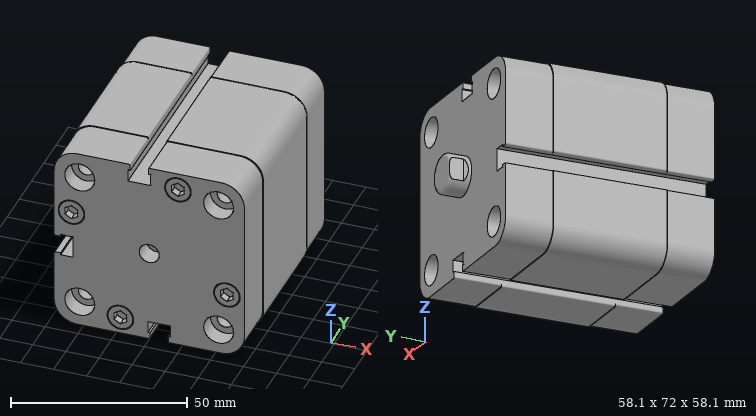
import cadquery as cq
import math


barrel_width = 58.1
cap_width = 57.6
corner_radius = 7.0
housing_length = 65.5
cap_length = 14.9
barrel_length = housing_length - 2 * cap_length

slot_offset = 3.0
slot_mouth = 5.5
slot_inner = 6.8
slot_lip_depth = 2.3
slot_depth = 5.95
slot_edge_radius = 0.5
slot_angles = (0, 90, 180)
slot_floor = barrel_width / 2 - slot_depth
slot_ledge = barrel_width / 2 - slot_lip_depth

mount_pitch = 42.0
mount_hole_diameter = 4.92
mount_bore_diameter = 9.0
mount_bore_depth = 5.5

screw_x = 8.7
screw_z = 23.5
screw_count = 4
screw_bore_diameter = 8.0
screw_head_diameter = 7.5
screw_head_height = 5.0
socket_across_flats = 3.8
socket_depth = 2.5

port_diameter = 6.0
port_depth = 6.0

rod_diameter = 12.0
rod_length = 6.5
rod_tip_radius = 1.2
rod_flats = 10.0
rod_flat_length = 4.5
rod_flat_runout = rod_diameter / 2 - rod_flats / 2
rod_tip_y = housing_length + rod_length


def sketch_plane(y):
    """Plane facing -Y at depth y: local x is X and local y is Z."""
    return cq.Workplane("XZ", origin=(0, y, 0))


def cylinder(diameter, length, y=0.0, points=((0, 0),)):
    """Cylinders that start at depth y and run towards +Y."""
    return sketch_plane(y).pushPoints(points).circle(diameter / 2).extrude(-length)


def slot_cutter(half_width):
    """Undercut slot in the +Z face, its mouth edges rounded."""
    mouth = slot_mouth / 2
    inner = slot_inner / 2
    radius = slot_edge_radius
    bend = radius * (1 - math.sqrt(0.5))
    tangent = half_width - radius
    above = half_width + radius
    return (
        sketch_plane(0)
        .center(-slot_offset, 0)
        .moveTo(-inner, slot_floor)
        .lineTo(inner, slot_floor)
        .lineTo(inner, slot_ledge)
        .lineTo(mouth, slot_ledge)
        .lineTo(mouth, tangent)
        .threePointArc((mouth + bend, half_width - bend), (mouth + radius, half_width))
        .lineTo(mouth + radius, above)
        .lineTo(-mouth - radius, above)
        .lineTo(-mouth - radius, half_width)
        .threePointArc((-mouth - bend, half_width - bend), (-mouth, tangent))
        .lineTo(-mouth, slot_ledge)
        .lineTo(-inner, slot_ledge)
        .close()
        .extrude(-housing_length)
    )


def housing_section(width, length, y):
    """Rounded square block with the sensor slots cut along it."""
    block = sketch_plane(y).rect(width, width).extrude(-length)
    block = block.edges("|Y").fillet(corner_radius)
    cutter = slot_cutter(width / 2)
    for angle in slot_angles:
        block = block.cut(cutter.rotate((0, 0, 0), (0, 1, 0), -angle))
    return block


def housing():
    rear_cap = housing_section(cap_width, cap_length, 0)
    barrel = housing_section(barrel_width, barrel_length, cap_length)
    front_cap = housing_section(cap_width, cap_length, cap_length + barrel_length)
    return rear_cap.union(barrel).union(front_cap)


def mounting_holes():
    """Through holes at the corners, counterbored at both ends."""
    half = mount_pitch / 2
    points = [(x, z) for x in (-half, half) for z in (-half, half)]
    holes = cylinder(mount_hole_diameter, housing_length, 0, points)
    for y in (0, housing_length - mount_bore_depth):
        holes = holes.union(cylinder(mount_bore_diameter, mount_bore_depth, y, points))
    return holes


def screw_recesses():
    """Ring gap around each screw head, and its hexagon socket."""
    bore = cylinder(screw_bore_diameter, screw_head_height)
    head = cylinder(screw_head_diameter, screw_head_height)
    corner_diameter = socket_across_flats / math.cos(math.pi / 6)
    socket = (
        sketch_plane(0)
        .transformed(rotate=(0, 0, 90))
        .polygon(6, corner_diameter)
        .extrude(-socket_depth)
    )
    recess = bore.cut(head).union(socket)
    quarter = 2 * math.pi / screw_count
    recesses = cq.Workplane()
    for i in range(screw_count):
        x = screw_x * math.cos(i * quarter) - screw_z * math.sin(i * quarter)
        z = screw_x * math.sin(i * quarter) + screw_z * math.cos(i * quarter)
        recesses = recesses.add(recess.translate((x, 0, z)))
    return recesses.combine()


def piston_rod():
    """Round rod with a rounded tip and two wrench flats facing +X and -X."""
    radius = rod_diameter / 2
    flat = rod_flats / 2
    flat_end = rod_tip_y - rod_flat_length
    rod = (
        cq.Workplane("XY")
        .moveTo(0, housing_length)
        .lineTo(radius, housing_length)
        .lineTo(radius, rod_tip_y)
        .lineTo(0, rod_tip_y)
        .close()
        .revolve(360, (0, 0, 0), (0, 1, 0))
        .faces(">Y")
        .edges()
        .fillet(rod_tip_radius)
    )
    flat_cutter = (
        cq.Workplane("XY")
        .moveTo(flat, rod_tip_y)
        .lineTo(flat, flat_end)
        .lineTo(radius, flat_end - rod_flat_runout)
        .lineTo(radius, rod_tip_y)
        .close()
        .extrude(radius, both=True)
    )
    return rod.cut(flat_cutter).cut(flat_cutter.mirror("YZ"))


port = cylinder(port_diameter, port_depth)

result = (
    housing()
    .cut(mounting_holes())
    .cut(screw_recesses())
    .cut(port)
    .union(piston_rod())
)